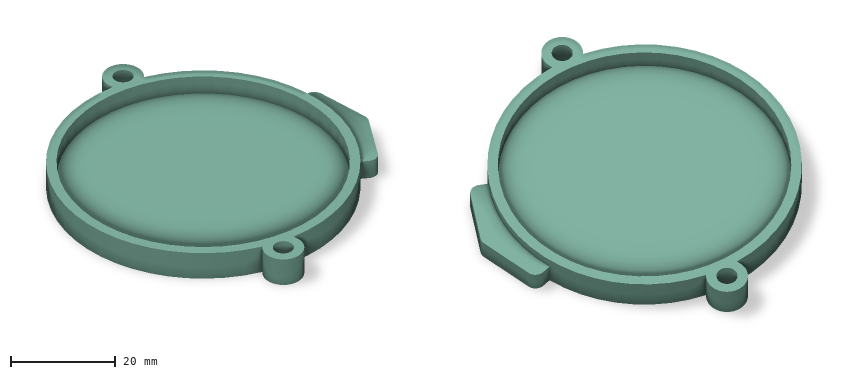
import cadquery as cq
import math

height = 6.0
outer_radius = 30.0
wall = 2.0
floor_thickness = 2.0
inner_radius = outer_radius - wall

overall_width = 72.0
lug_hole_diameter = 4.0
lug_diameter = 8.0
lug_radius = lug_diameter / 2
lug_offset = overall_width / 2 - lug_radius

bracket_height = 4.0
bar_width = 4.0
bar_radius = bar_width / 2
bracket_reach = 35.7
apex = (0.0, bracket_reach - bar_radius)
leg_angle = 19.5
end_distance = apex[1] * math.cos(math.radians(leg_angle))


def cylinder(center, radius, length):
    return cq.Workplane("XY").center(*center).circle(radius).extrude(length)


def bar(start, end):
    """Flat bar between two points, standing on the base plane."""
    dx = end[0] - start[0]
    dy = end[1] - start[1]
    return (
        cq.Workplane("XY")
        .center((start[0] + end[0]) / 2, (start[1] + end[1]) / 2)
        .transformed(rotate=(0, 0, math.degrees(math.atan2(dy, dx))))
        .rect(math.hypot(dx, dy), bar_width)
        .extrude(bracket_height)
    )


def radial_point(distance, side):
    """Point at the leg angle away from +Y; side is -1 for left and 1 for right."""
    angle = math.radians(leg_angle)
    return (side * distance * math.sin(angle), distance * math.cos(angle))


def bracket():
    """Two sloping bars with rounded ends, radial legs and a filled centre."""
    left_foot = radial_point(inner_radius, -1)
    left_end = radial_point(end_distance, -1)
    right_end = radial_point(end_distance, 1)
    right_foot = radial_point(inner_radius, 1)
    body = cylinder(apex, bar_radius, bracket_height)
    for foot, end in ((left_foot, left_end), (right_foot, right_end)):
        body = body.union(cylinder(end, bar_radius, bracket_height))
        body = body.union(bar(end, apex))
        body = body.union(bar(foot, end))
    filling = (
        cq.Workplane("XY")
        .polyline([left_foot, left_end, apex, right_end, right_foot])
        .close()
        .extrude(bracket_height)
    )
    return body.union(filling)


result = cylinder((0, 0), outer_radius, height).union(bracket())

for side in (-1, 1):
    lug_center = (side * lug_offset, 0)
    result = result.union(cylinder(lug_center, lug_radius, height))
    result = result.cut(cylinder(lug_center, lug_hole_diameter / 2, height))

recess = cylinder((0, 0), inner_radius, height - floor_thickness).translate((0, 0, floor_thickness))
result = result.cut(recess)